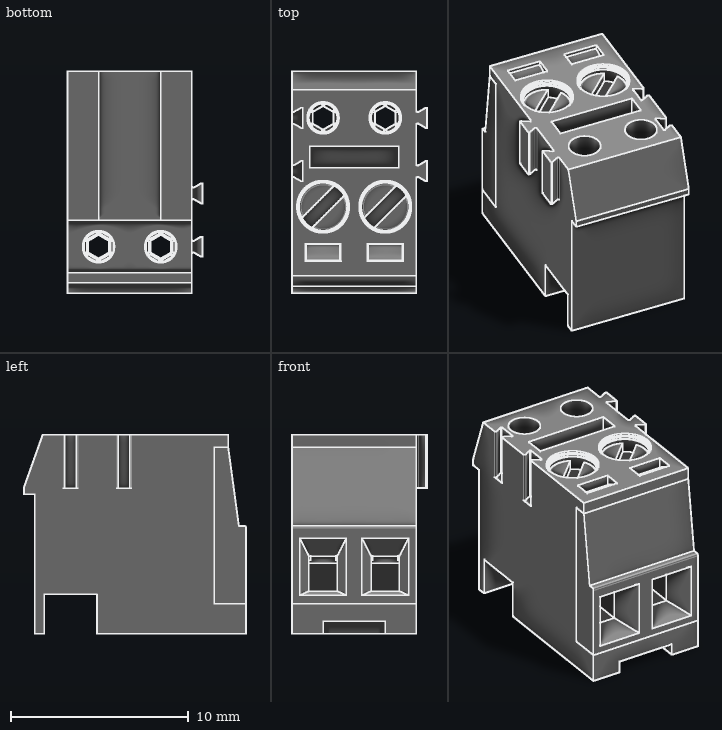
import cadquery as cq
import math


width = 7.0
length = 12.5
height = 11.2
pole_pitch = 3.5
pole_xs = [(width - pole_pitch) / 2, (width + pole_pitch) / 2]

nose_height = 6.08
nose_depth = 0.4
nose_radius = 0.1
front_top_y = 1.0
frame_top = 10.5
back_wall_y = 11.9
hook_bottom = 7.85
hook_lip = 0.4
hook_top_y = 11.45

plug_slot_front = 8.4
plug_slot_back = 11.35
plug_slot_height = 2.22
notch_width = 3.5
notch_height = 0.7

frame_depth = 1.8
frame_bottom = 1.7
funnel_width = 2.62
funnel_bottom = 2.16
funnel_top = 5.39
opening_width = 1.6
opening_bottom = 2.4
opening_top = 4.38

dovetail_pitch = 3.0
dovetail_depth = 0.6
mouth_half_width = 0.4
lip_radius = 0.08
flank_angle = math.radians(30.0)
tip_flat = 0.08
dovetail_height = 3.0

label_length = 5.0
label_width = 1.2
label_y = 7.68
label_depth = 1.5

window_length = 2.0
window_width = 1.0
window_depth = 1.0
crown_gap = 0.05
crown_radius = 1.25
crown_top_depth = 0.2

screw_y = 4.88
screw_diameter = 2.7
screw_top = height - 0.52
screw_edge_radius = 0.1
screw_slot_width = 0.8
screw_slot_depth = 0.6
screw_slot_angle = 45.0
rim_diameter = 2.95
rim_depth = 0.12
collar_diameter = 2.82
collar_bottom_depth = 0.31

chamber_back = 6.3
chamber_top = 6.0
clamp_bottom = 3.98
clamp_flange = 0.15
clamp_stem_width = 1.4
clamp_length = 2 * (chamber_back - screw_y)

socket_y = 9.88
socket_diameter = 1.8
socket_bore = 1.6
socket_top = 9.0
collar_height = 1.0
finger_count = 6
finger_width = 0.64
finger_thickness = 0.1
finger_root_radius = 0.84
finger_root_overlap = 0.25
finger_tip_radius = 0.58
finger_length = 2.0


def box(x0, x1, y0, y1, z0, z1):
    """Box between two corners."""
    return cq.Workplane("XY").box(x1 - x0, y1 - y0, z1 - z0, centered=False).translate((x0, y0, z0))


def cylinder(x, y, diameter, z0, z1):
    """Upright cylinder between two heights."""
    return cq.Workplane("XY", origin=(x, y, z0)).circle(diameter / 2).extrude(z1 - z0)


def side_block():
    """The whole side outline, extruded across the width."""
    outline = [
        (0, 0),
        (plug_slot_front, 0),
        (plug_slot_front, plug_slot_height),
        (plug_slot_back, plug_slot_height),
        (plug_slot_back, 0),
        (back_wall_y, 0),
        (back_wall_y, hook_bottom),
        (length, hook_bottom),
        (length, hook_bottom + hook_lip),
        (hook_top_y, height),
        (front_top_y, height),
        (front_top_y, frame_top),
        (nose_depth, nose_height),
        (0, nose_height),
    ]
    block = cq.Workplane("YZ").polyline(outline).close().extrude(width)
    nose_edge = cq.selectors.NearestToPointSelector((width / 2, 0, nose_height))
    return block.edges(nose_edge).fillet(nose_radius)


def frame_zone():
    """Space at the front that belongs to the frame."""
    return box(0, width, 0, frame_depth, frame_bottom, frame_top)


def dovetail_bar(side_x, y):
    """Upright dovetail bar reaching in +X from a side face."""
    half_turn = (math.pi / 2 + flank_angle) / 2
    lip_mid_x = lip_radius * (1 - math.cos(half_turn))
    lip_mid_y = mouth_half_width - lip_radius * math.sin(half_turn)
    flank_x = lip_radius * (1 + math.sin(flank_angle))
    flank_y = mouth_half_width - lip_radius * math.cos(flank_angle)
    tip_x = dovetail_depth - tip_flat
    tip_y = flank_y + (tip_x - flank_x) * math.tan(flank_angle)
    return (
        cq.Workplane("XY", origin=(side_x, y, height - dovetail_height))
        .moveTo(0, mouth_half_width)
        .threePointArc((lip_mid_x, lip_mid_y), (flank_x, flank_y))
        .lineTo(tip_x, tip_y)
        .lineTo(dovetail_depth, tip_y)
        .lineTo(dovetail_depth, -tip_y)
        .lineTo(tip_x, -tip_y)
        .lineTo(flank_x, -flank_y)
        .threePointArc((lip_mid_x, -lip_mid_y), (0, -mouth_half_width))
        .close()
        .extrude(dovetail_height)
    )


def test_window(x):
    """Cutter for a test window, leaving a rounded crown standing in it."""
    y0 = frame_depth
    y1 = frame_depth + window_width
    x0 = x - window_length / 2
    x1 = x + window_length / 2
    pit = box(x0, x1, y0, y1, height - window_depth, height)
    crown_axis_z = height - crown_top_depth - crown_radius
    crown = (
        cq.Workplane("YZ", origin=(x0 + crown_gap, y0, crown_axis_z))
        .circle(crown_radius)
        .extrude(window_length - 2 * crown_gap)
    )
    crown_limits = box(x0, x1, y0 + crown_gap, y1 - crown_gap, 0, height)
    return pit.cut(crown.intersect(crown_limits))


def screw_bore(x):
    """Cutter for a screw bore: rim, cone, collar and guide down to the wire chamber."""
    cone = (rim_diameter - collar_diameter) / 2
    profile = [
        (0, chamber_top),
        (screw_diameter / 2, chamber_top),
        (screw_diameter / 2, height - collar_bottom_depth),
        (collar_diameter / 2, height - collar_bottom_depth),
        (collar_diameter / 2, height - rim_depth - cone),
        (rim_diameter / 2, height - rim_depth),
        (rim_diameter / 2, height),
        (0, height),
    ]
    bore = cq.Workplane("XZ").polyline(profile).close().revolve(360, (0, 0), (0, 1))
    return bore.translate((x, screw_y, 0))


def make_housing():
    notch_left = (width - notch_width) / 2
    label_left = (width - label_length) / 2
    body = side_block().cut(frame_zone())
    for y in (socket_y - dovetail_pitch, socket_y):
        body = body.union(dovetail_bar(width, y)).cut(dovetail_bar(0, y))
    body = body.cut(box(notch_left, notch_left + notch_width, 0, plug_slot_front, 0, notch_height))
    body = body.cut(
        box(
            label_left,
            label_left + label_length,
            label_y - label_width / 2,
            label_y + label_width / 2,
            height - label_depth,
            height,
        )
    )
    for x in pole_xs:
        chamber_left = x - opening_width / 2
        chamber = box(
            chamber_left,
            chamber_left + opening_width,
            frame_depth,
            chamber_back,
            opening_bottom,
            chamber_top,
        )
        body = body.cut(chamber)
        body = body.cut(screw_bore(x))
        body = body.cut(test_window(x))
        body = body.cut(cylinder(x, socket_y, socket_diameter, plug_slot_height, height))
    return body


def make_frame():
    """Front frame with a wire funnel for each pole."""
    frame = side_block().intersect(frame_zone())
    funnel_height = funnel_top - funnel_bottom
    opening_height = opening_top - opening_bottom
    opening_rise = (opening_bottom + opening_top - funnel_bottom - funnel_top) / 2
    for x in pole_xs:
        funnel = (
            cq.Workplane("XZ", origin=(x, 0, (funnel_bottom + funnel_top) / 2))
            .rect(funnel_width, funnel_height)
            .workplane(offset=-frame_depth)
            .center(0, opening_rise)
            .rect(opening_width, opening_height)
            .loft(ruled=True)
        )
        frame = frame.cut(funnel)
    return frame


def make_screw(x):
    """Slotted screw standing on its clamp."""
    screw = cylinder(x, screw_y, screw_diameter, chamber_top, screw_top)
    screw = screw.faces(">Z").edges().fillet(screw_edge_radius)
    slot = (
        cq.Workplane("XY", origin=(x, screw_y, screw_top - screw_slot_depth))
        .transformed(rotate=(0, 0, screw_slot_angle))
        .rect(2 * screw_diameter, screw_slot_width)
        .extrude(screw_slot_depth)
    )
    return screw.cut(slot)


def make_clamp(x):
    """Wire clamp: a wide pressure plate with a narrower stem under the screw."""
    y0 = chamber_back - clamp_length
    plate_top = clamp_bottom + clamp_flange
    half_plate = opening_width / 2
    half_stem = clamp_stem_width / 2
    plate = box(x - half_plate, x + half_plate, y0, chamber_back, clamp_bottom, plate_top)
    stem = box(x - half_stem, x + half_stem, y0, chamber_back, plate_top, chamber_top)
    return plate.union(stem)


def make_socket(x):
    """Pin socket: a collar with spring fingers that lean in to a hexagonal throat."""
    collar_bottom = socket_top - collar_height
    outer = socket_diameter / 2
    inner = socket_bore / 2
    socket_wall = outer - inner
    collar = (
        cq.Workplane("XZ")
        .moveTo(inner, collar_bottom)
        .lineTo(outer, collar_bottom)
        .lineTo(outer, socket_top)
        .radiusArc((inner, socket_top - socket_wall), -socket_wall)
        .close()
        .revolve(360, (0, 0), (0, 1))
    )
    finger_bottom = collar_bottom - finger_length
    finger_profile = [
        (finger_root_radius, collar_bottom + finger_root_overlap),
        (finger_root_radius, collar_bottom),
        (finger_tip_radius + finger_thickness, finger_bottom),
        (finger_tip_radius, finger_bottom),
    ]
    finger = cq.Workplane("XZ").polyline(finger_profile).close().extrude(finger_width / 2, both=True)
    socket = collar
    for i in range(finger_count):
        socket = socket.union(finger.rotate((0, 0, 0), (0, 0, 1), i * 360 / finger_count))
    return socket.translate((x, socket_y, 0))


housing = make_housing()
frame = make_frame()
screws = [make_screw(x) for x in pole_xs]
clamps = [make_clamp(x) for x in pole_xs]
sockets = [make_socket(x) for x in pole_xs]

pole_parts = [part.val() for part in screws + clamps + sockets]
result = cq.Compound.makeCompound([housing.val(), frame.val(), *pole_parts])